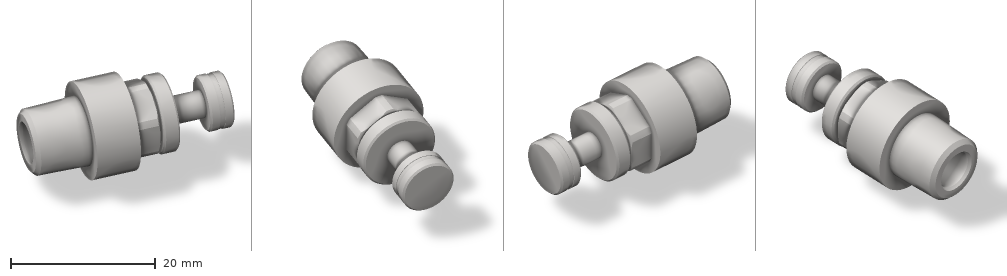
import cadquery as cq
import math

total_length = 29.1

nose_length = 8.0
nose_root_diameter = 9.98
pipe_taper = 1 / 16
nose_chamfer_length = 0.58
nose_tip_diameter = 8.32

bore_diameter = 5.55
bore_chamfer_width = 0.25
bore_chamfer_length = 0.47

collar_diameter = 14.0
collar_length = 6.35
hex_across_flats = 10.0
hex_corner_diameter = 11.0
hex_length = 3.5
hex_end_diameter = 10.3
hex_chamfer_angle = 30.0

neck_length = 0.4
neck_front_diameter = 9.65
neck_rear_diameter = neck_front_diameter - 2 * neck_length
flange_diameter = 11.2
flange_length = 2.4
rod_diameter = 4.0
head_diameter = 8.0
head_length = 3.52
groove_diameter = 7.8
groove_width = 0.8
rim_chamfer = 0.25

collar_start = nose_length
hex_start = collar_start + collar_length
neck_start = hex_start + hex_length
flange_start = neck_start + neck_length
rod_start = flange_start + flange_length
head_start = total_length - head_length
rod_length = head_start - rod_start


def cone(start, length, front_diameter, rear_diameter):
    """Solid of revolution about Y with a straight side."""
    profile = [
        (0, start),
        (front_diameter / 2, start),
        (rear_diameter / 2, start + length),
        (0, start + length),
    ]
    return cq.Workplane("XY").polyline(profile).close().revolve(360, (0, 0), (0, 1))


def disc(start, length, diameter):
    """Plain cylinder about Y."""
    return cone(start, length, diameter, diameter)


def chamfered_disc(start, length, diameter):
    """Cylinder about Y with both rims chamfered."""
    return disc(start, length, diameter).edges("%CIRCLE").chamfer(rim_chamfer)


def make_nose():
    taper_length = nose_length - nose_chamfer_length
    rim_diameter = nose_root_diameter - pipe_taper * taper_length
    tip = cone(0, nose_chamfer_length, nose_tip_diameter, rim_diameter)
    return tip.union(cone(nose_chamfer_length, taper_length, rim_diameter, nose_root_diameter))


def make_hexagon():
    """Hexagon with flats facing +X and -X, corners turned round, rear corners chamfered."""
    chamfer_depth = (hex_corner_diameter - hex_end_diameter) / 2
    chamfer_length = chamfer_depth * math.tan(math.radians(hex_chamfer_angle))
    straight_length = hex_length - chamfer_length
    blank = disc(hex_start, straight_length, hex_corner_diameter).union(
        cone(hex_start + straight_length, chamfer_length, hex_corner_diameter, hex_end_diameter)
    )
    prism = (
        cq.Workplane("XZ", origin=(0, hex_start, 0))
        .polygon(6, hex_across_flats, circumscribed=True)
        .extrude(-hex_length)
    )
    return blank.intersect(prism)


def make_head():
    head = chamfered_disc(head_start, head_length, head_diameter)
    groove_start = head_start + (head_length - groove_width) / 2
    ring = disc(groove_start, groove_width, head_diameter).cut(
        disc(groove_start, groove_width, groove_diameter)
    )
    return head.cut(ring)


def make_bore():
    mouth_diameter = bore_diameter + 2 * bore_chamfer_width
    return disc(0, hex_start, bore_diameter).union(
        cone(0, bore_chamfer_length, mouth_diameter, bore_diameter)
    )


result = (
    make_nose()
    .union(disc(collar_start, collar_length, collar_diameter))
    .union(make_hexagon())
    .union(cone(neck_start, neck_length, neck_front_diameter, neck_rear_diameter))
    .union(chamfered_disc(flange_start, flange_length, flange_diameter))
    .union(disc(rod_start, rod_length, rod_diameter))
    .union(make_head())
    .cut(make_bore())
)